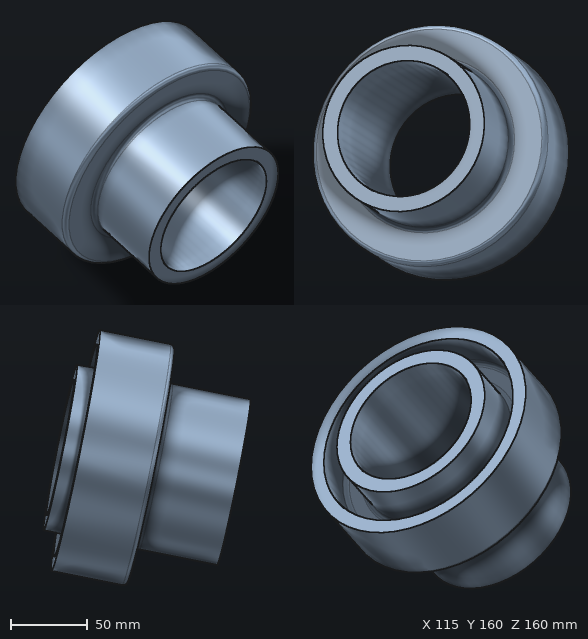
import cadquery as cq

total_length = 115.0
bore_diameter = 90.0
hub_diameter = 110.0
rim_diameter = 160.0
rim_bore_diameter = 141.0
rim_offset = 10.0
rim_width = 50.0
web_thickness = 22.0
fillet_radius = 3.2

rim_back = rim_offset + rim_width
pocket_floor = rim_back - web_thickness

bore_radius = bore_diameter / 2
hub_radius = hub_diameter / 2
rim_radius = rim_diameter / 2
rim_bore_radius = rim_bore_diameter / 2

half_section = (
    cq.Workplane("XY")
    .moveTo(0, bore_radius)
    .lineTo(0, hub_radius)
    .lineTo(pocket_floor - fillet_radius, hub_radius)
    .tangentArcPoint((fillet_radius, fillet_radius))
    .lineTo(pocket_floor, rim_bore_radius - fillet_radius)
    .tangentArcPoint((-fillet_radius, fillet_radius))
    .lineTo(rim_offset, rim_bore_radius)
    .lineTo(rim_offset, rim_radius)
    .lineTo(rim_back - fillet_radius, rim_radius)
    .tangentArcPoint((fillet_radius, -fillet_radius))
    .lineTo(rim_back, hub_radius + fillet_radius)
    .tangentArcPoint((fillet_radius, -fillet_radius))
    .lineTo(total_length, hub_radius)
    .lineTo(total_length, bore_radius)
    .close()
)

result = half_section.revolve(360, (0, 0, 0), (1, 0, 0))